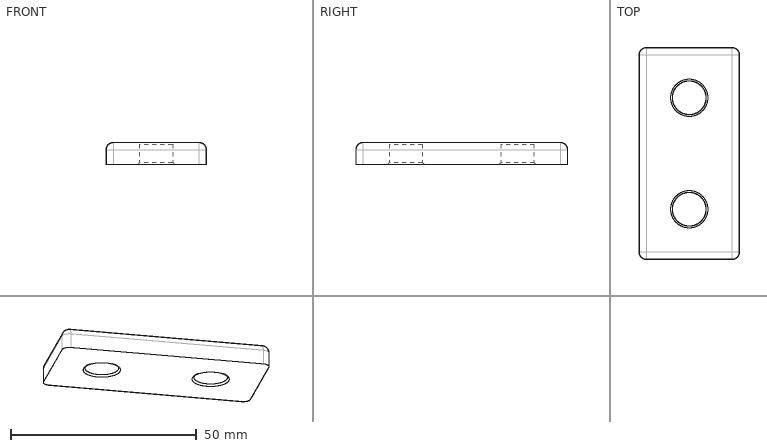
import cadquery as cq

width = 27.0
length = 57.0
thickness = 6.0
edge_radius = 2.0

hole_diameter = 9.0
hole_spacing = 30.0
hole_chamfer = 0.5


def rounded_plate():
    """Plate with a flat underside, rounded corners and a rounded top rim."""
    plate = cq.Workplane("XY").box(width, length, thickness, centered=(True, True, False))
    return plate.edges("|Z or >Z").fillet(edge_radius)


def chamfered_hole_cutter(y):
    """Through-hole cutter, flared at 45 degrees at the top and bottom faces."""
    hole_radius = hole_diameter / 2
    mouth_radius = hole_radius + hole_chamfer
    half_profile = (
        cq.Workplane("XZ")
        .moveTo(0, 0)
        .lineTo(mouth_radius, 0)
        .lineTo(hole_radius, hole_chamfer)
        .lineTo(hole_radius, thickness - hole_chamfer)
        .lineTo(mouth_radius, thickness)
        .lineTo(0, thickness)
        .close()
    )
    cutter = half_profile.revolve(360, (0, 0), (0, 1))
    return cutter.translate((0, y, 0))


result = rounded_plate()
for hole_y in (-hole_spacing / 2, hole_spacing / 2):
    result = result.cut(chamfered_hole_cutter(hole_y))